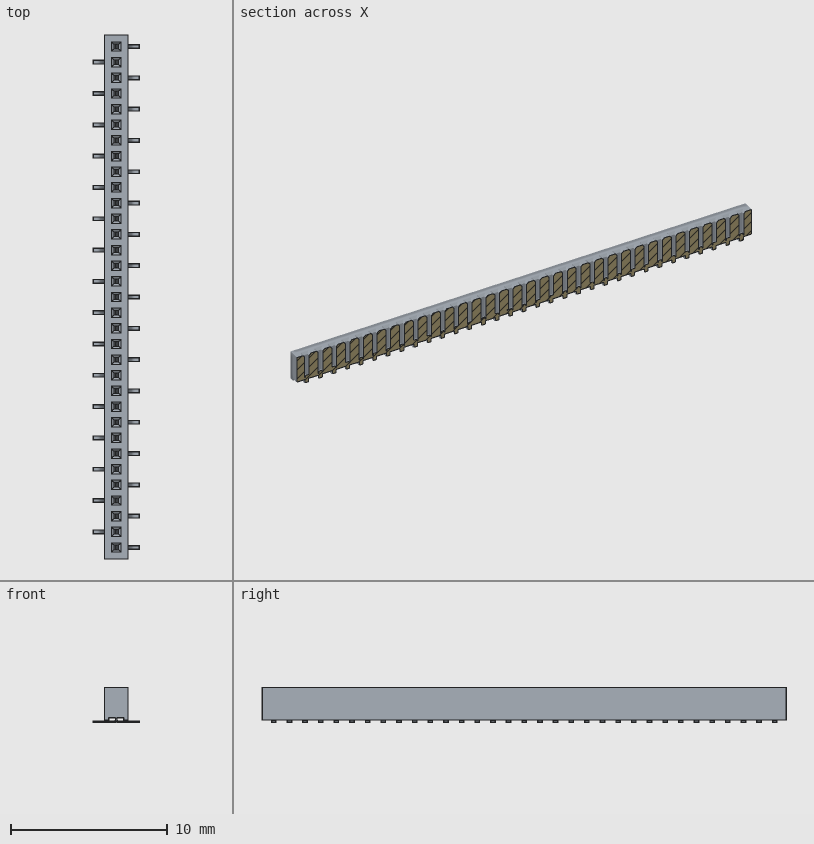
import cadquery as cq

body_length = 33.5
body_width = 1.5
total_height = 2.25
lead_span = 2.95

contact_count = 33
end_margin_pitches = 0.75
pitch = body_length / (contact_count - 1 + 2 * end_margin_pitches)
first_contact_y = -(contact_count - 1) / 2 * pitch

mouth_size = 0.6
bore_size = 0.3
bore_depth = 1.6
mouth_depth = (mouth_size - bore_size) / 2

body_base = 0.15
channel_width = 0.95
channel_depth = 0.15
channel_top = body_base + channel_depth

lead_thickness = 0.1
strip_width = 0.25
stem_width = 0.3
blade_height = 0.35
bend_inner_radius = 0.07


def make_body():
    """Long rectangular housing with a channel running along its underside."""
    base = cq.Workplane("XY").workplane(offset=body_base)
    housing = base.rect(body_width, body_length).extrude(total_height - body_base)
    channel = base.rect(channel_width, body_length).extrude(channel_depth)
    return housing.cut(channel)


def make_socket():
    """Volume to remove for one socket, centred on the Z axis."""
    mouth_bottom = total_height - mouth_depth
    mouth = (
        cq.Workplane("XY")
        .workplane(offset=mouth_bottom)
        .rect(bore_size, bore_size)
        .workplane(offset=mouth_depth)
        .rect(mouth_size, mouth_size)
        .loft(ruled=True)
    )
    bore = cq.Workplane("XY").workplane(offset=mouth_bottom - bore_depth)
    bore = bore.rect(bore_size, bore_size).extrude(bore_depth)
    return mouth.union(bore)


def make_contact():
    """Bent contact whose foot points toward +X, centred on the XZ plane."""
    half_thickness = lead_thickness / 2
    bend_outer_radius = bend_inner_radius + lead_thickness
    bend_x = half_thickness + bend_inner_radius
    stem = (
        cq.Workplane("XZ")
        .moveTo(-half_thickness, channel_top)
        .lineTo(-half_thickness, bend_outer_radius)
        .radiusArc((bend_x, 0), -bend_outer_radius)
        .lineTo(bend_x, lead_thickness)
        .radiusArc((half_thickness, bend_outer_radius), bend_inner_radius)
        .lineTo(half_thickness, channel_top)
        .close()
        .extrude(stem_width / 2, both=True)
    )
    foot_length = lead_span / 2 - bend_x
    foot = cq.Workplane("XY").box(
        foot_length, strip_width, lead_thickness, centered=(False, True, False)
    )
    foot = foot.translate((bend_x, 0, 0))
    blade = cq.Workplane("XY").workplane(offset=channel_top)
    blade = blade.rect(lead_thickness, strip_width).extrude(blade_height)
    return stem.union(foot).union(blade)


socket = make_socket().val()
right_contact = make_contact().val()
left_contact = right_contact.mirror("YZ")

sockets = []
contacts = []
for index in range(contact_count):
    place = cq.Location(cq.Vector(0, first_contact_y + index * pitch, 0))
    contact = right_contact if index % 2 == 0 else left_contact
    contacts.append(contact.moved(place))
    sockets.append(socket.moved(place))

connector = make_body().val().cut(*sockets).fuse(*contacts)
result = cq.Workplane("XY").newObject(connector.Solids())